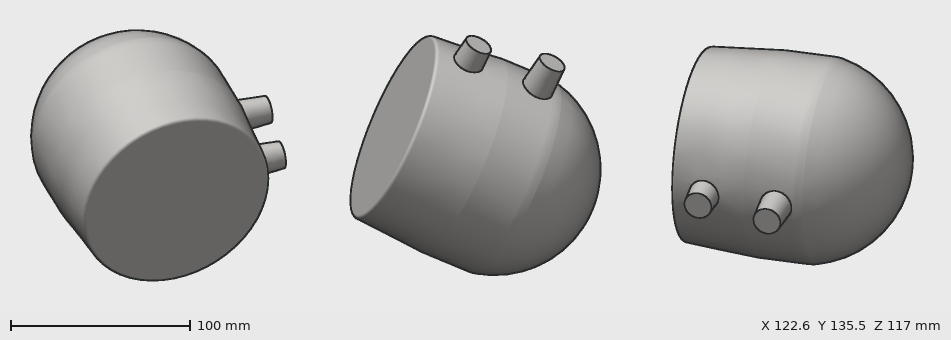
import cadquery as cq
import math

length = 122.6
body_radius = 117.0 / 2
dome_radius = 59.3
shoulder_radius = 24.4
taper_start = 79.7
end_radius = 55.1
end_fillet = 2.0

overall_depth = 135.5
post_tip_diameter = 15.6
post_draft = 4.0
post_root = 47.4
tall_post_x = 61.2
tall_post_tip = overall_depth - body_radius
short_post_x = 103.3
short_post_tip = tall_post_tip - 7.6


def make_body():
    center_gap = dome_radius - shoulder_radius
    center_rise = body_radius - shoulder_radius
    center_run = math.sqrt(center_gap**2 - center_rise**2)
    shoulder_x = dome_radius - center_run
    seam_angle = math.atan2(center_rise, center_run)

    def dome_point(angle):
        return (dome_radius * (1 - math.cos(angle)), dome_radius * math.sin(angle))

    middle_angle = (seam_angle + math.pi / 2) / 2
    shoulder_middle = (
        shoulder_x - shoulder_radius * math.cos(middle_angle),
        center_rise + shoulder_radius * math.sin(middle_angle),
    )
    profile = (
        cq.Workplane("XY")
        .moveTo(0, 0)
        .threePointArc(dome_point(seam_angle / 2), dome_point(seam_angle))
        .threePointArc(shoulder_middle, (shoulder_x, body_radius))
        .lineTo(taper_start, body_radius)
        .lineTo(length, end_radius)
        .lineTo(length, 0)
        .close()
    )
    body = profile.revolve(360, (0, 0, 0), (1, 0, 0))
    return body.faces(">X").edges().fillet(end_fillet)


def make_post(x, tip):
    height = tip - post_root
    tip_radius = post_tip_diameter / 2
    root_radius = tip_radius + height * math.tan(math.radians(post_draft))
    base = cq.Vector(x, post_root, 0)
    return cq.Solid.makeCone(root_radius, tip_radius, height, base, cq.Vector(0, 1, 0))


result = make_body()
for post_x, post_tip in ((tall_post_x, tall_post_tip), (short_post_x, short_post_tip)):
    result = result.union(make_post(post_x, post_tip))